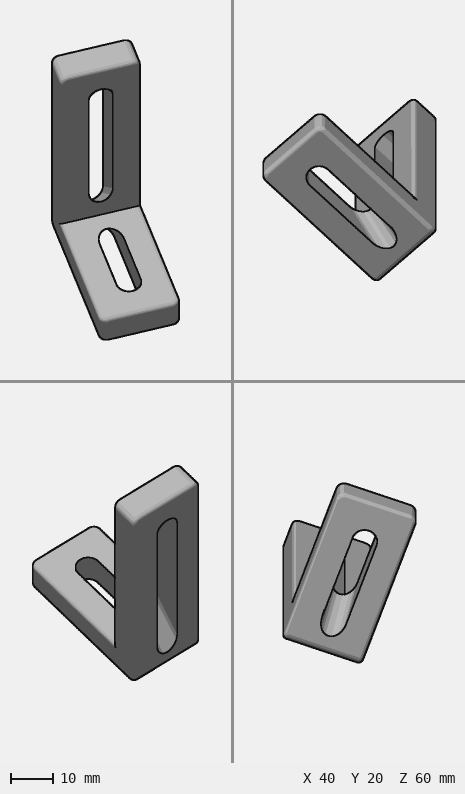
import cadquery as cq
import math

height = 60.0
length = 40.0
width = 20.0
thickness = 8.0

corner_radius = 2.0
edge_radius = 1.0

slot_width = 6.0
slot_end_margin = 6.9
slanted_end_start = 4.7

slot_radius = slot_width / 2
slanted_half_axis = slot_radius * math.sqrt(2)
slanted_center = slanted_end_start + slanted_half_axis


def make_body():
    """L-shaped body with rounded corners and softened outer edges."""
    body = (
        cq.Workplane("XZ")
        .polyline([
            (0, 0),
            (length, 0),
            (length, thickness),
            (thickness, thickness),
            (thickness, height),
            (0, height),
        ])
        .close()
        .extrude(width / 2, both=True)
    )
    body = body.edges("|X and >Z").fillet(corner_radius)
    body = body.edges("|Z and >X").fillet(corner_radius)
    body = body.edges("|Y and <X and <Z").fillet(corner_radius)
    rounded = body.faces("<Y or >Y or <X or <Z or >X or >Z").edges()
    return rounded.fillet(edge_radius)


def slot_cutter(end_distance):
    """Slot through the upright leg: round far end, near end slanted at 45 degrees."""
    far_center = end_distance - slot_end_margin - slot_radius
    reach = thickness * 2
    straight = (
        cq.Workplane("XZ")
        .polyline([
            (-thickness, slanted_center - thickness),
            (reach, slanted_center + reach),
            (reach, far_center),
            (-thickness, far_center),
        ])
        .close()
        .extrude(slot_radius, both=True)
    )
    round_end = (
        cq.Workplane("YZ", origin=(-thickness, 0, far_center))
        .circle(slot_radius)
        .extrude(reach + thickness)
    )
    slanted_end = cq.Workplane(cq.Solid.makeCylinder(
        slot_radius,
        (reach + thickness) * math.sqrt(2),
        cq.Vector(-thickness, 0, slanted_center - thickness),
        cq.Vector(1, 0, 1),
    ))
    leg_slab = cq.Workplane("XY").box(
        thickness, width, height, centered=(False, True, False)
    )
    return straight.union(round_end).union(slanted_end).intersect(leg_slab)


def swap_legs(cutter):
    """Mirror a cutter for the upright leg across the plane X = Z onto the base."""
    return cutter.rotate((0, 0, 0), (0, 1, 0), 90).mirror("XY")


upright_slot = slot_cutter(height)
base_slot = swap_legs(slot_cutter(length))

result = make_body().cut(upright_slot).cut(base_slot)